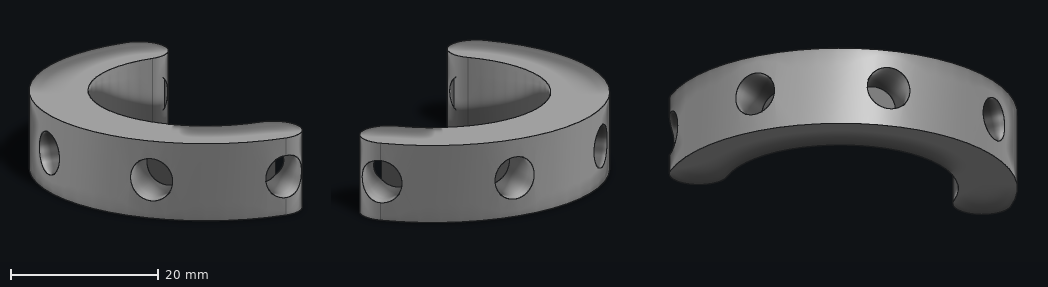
import cadquery as cq

outer_radius = 24.0
band_width = 8.0
height = 11.0
hole_diameter = 6.0
hole_depth = 7.4
hole_angles = (-180, -135, -90, -45, 0)

inner_radius = outer_radius - band_width
end_radius = band_width / 2
hole_floor_radius = outer_radius - hole_depth


def half_ring():
    """Semicircular band below the X axis with rounded ends above it."""
    return (
        cq.Workplane("XY")
        .moveTo(-outer_radius, 0)
        .threePointArc((0, -outer_radius), (outer_radius, 0))
        .threePointArc((outer_radius - end_radius, end_radius), (inner_radius, 0))
        .threePointArc((0, -inner_radius), (-inner_radius, 0))
        .threePointArc((end_radius - outer_radius, end_radius), (-outer_radius, 0))
        .close()
        .extrude(height)
    )


def radial_hole(angle):
    """Flat-bottomed hole cutter entering the outer wall at the given angle."""
    return (
        cq.Workplane("YZ", origin=(hole_floor_radius, 0, height / 2))
        .circle(hole_diameter / 2)
        .extrude(hole_depth)
        .rotate((0, 0, 0), (0, 0, 1), angle)
    )


result = half_ring()
for hole_angle in hole_angles:
    result = result.cut(radial_hole(hole_angle))